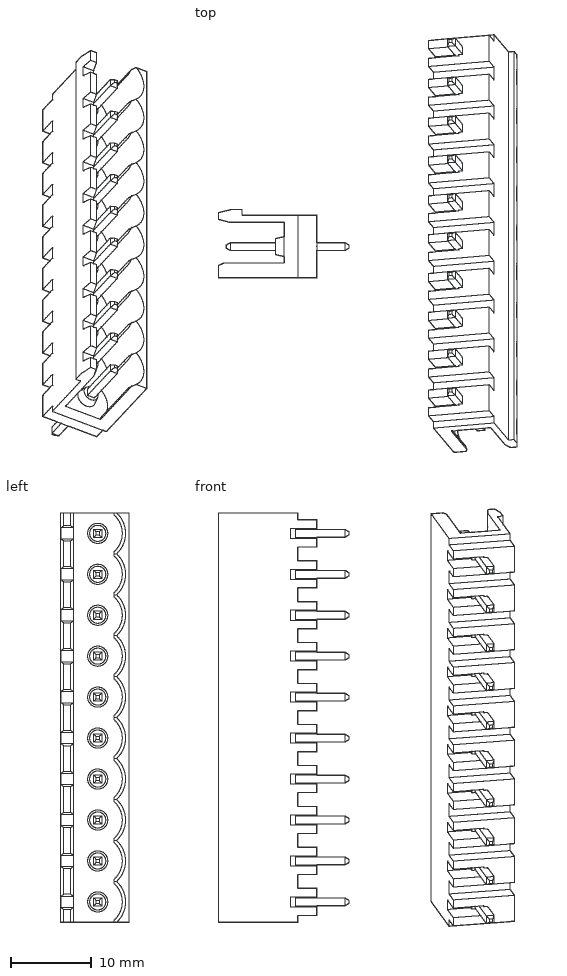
import cadquery as cq

pin_count = 10
pitch = 5.08
length = pin_count * pitch
pin_heights = [(i - (pin_count - 1) / 2) * pitch for i in range(pin_count)]

housing_depth = 9.85
housing_width = 7.8
channel_floor_x = 8.15
plain_wall_y = 1.85
latch_wall_y = 6.9
lead_in_length = 1.3
lead_in_drop = 0.35

scallop_radius = 3.05
scallop_mouth_radius = 3.45

overall_width = 8.5
hook_length = 2.95
hook_slope_length = 1.6
hook_slope_rise = 0.4
notch_depth = 1.3
notch_floor_width = 1.4
notch_mouth_width = 1.9

tooth_end_x = 12.2
tooth_height = 3.4
slot_start_x = 8.95
slot_deep_start_x = 9.55
slot_height = 1.25
slot_shallow_depth = 3.0

pin_y = 3.88
pin_side = 1.0
pin_tip_side = 0.4
pin_front_x = 0.95
pin_rear_x = 16.2
pin_front_taper = 0.55
pin_rear_taper = 0.5
collar_start_x = 7.05
collar_front_radius = 1.0
collar_base_radius = 1.25


def box(x_range, y_range, z_range):
    """Box between the given limits along X, Y and Z."""
    size = [high - low for low, high in (x_range, y_range, z_range)]
    corner = (x_range[0], y_range[0], z_range[0])
    return cq.Workplane("XY").box(*size, centered=False).translate(corner)


def centred_span(centre, size):
    return (centre - size / 2, centre + size / 2)


def plane_across_x(x, z):
    """Plane facing +X, centred on the pin axis at height z."""
    return cq.Workplane("YZ", origin=(x, pin_y, z))


def make_housing():
    """Constant cross-section of the channel and its latch hook."""
    return (
        cq.Workplane("XY", origin=(0, 0, -length / 2))
        .moveTo(0, 0)
        .lineTo(housing_depth, 0)
        .lineTo(housing_depth, housing_width)
        .lineTo(hook_length, housing_width)
        .lineTo(hook_length, overall_width)
        .lineTo(hook_slope_length, overall_width)
        .lineTo(0, overall_width - hook_slope_rise)
        .lineTo(0, latch_wall_y + lead_in_drop)
        .lineTo(lead_in_length, latch_wall_y)
        .lineTo(channel_floor_x, latch_wall_y)
        .lineTo(channel_floor_x, plain_wall_y)
        .lineTo(0, plain_wall_y)
        .close()
        .extrude(length)
    )


def make_scallop(z):
    """Round recess about the pin axis, widened by a cone at the mouth."""
    bore = plane_across_x(0, z).circle(scallop_radius).extrude(channel_floor_x)
    mouth = (
        plane_across_x(0, z)
        .circle(scallop_mouth_radius)
        .workplane(offset=lead_in_length)
        .circle(scallop_radius)
        .loft()
    )
    wall_side = box((0, channel_floor_x), (0, pin_y), centred_span(z, pitch))
    return bore.union(mouth).intersect(wall_side)


def make_notch(z):
    """Tapered gap between two neighbouring latch hooks."""
    return (
        cq.Workplane("XZ", origin=(0, overall_width, z))
        .moveTo(0, -notch_mouth_width / 2)
        .lineTo(notch_depth, -notch_floor_width / 2)
        .lineTo(notch_depth, notch_floor_width / 2)
        .lineTo(0, notch_mouth_width / 2)
        .close()
        .extrude(overall_width - pin_y)
    )


def make_tooth(z):
    return box((housing_depth, tooth_end_x), (0, housing_width), centred_span(z, tooth_height))


def make_slot(z):
    """Slot in the -Y face that steps down to the pin axis toward the rear."""
    z_range = centred_span(z, slot_height)
    shallow = box((slot_start_x, tooth_end_x), (0, slot_shallow_depth), z_range)
    deep = box((slot_deep_start_x, tooth_end_x), (0, pin_y), z_range)
    return shallow.union(deep)


def make_taper(tip_x, taper, z):
    """Tapered pin end that widens from tip_x by the signed length taper along X."""
    return (
        plane_across_x(tip_x, z)
        .rect(pin_tip_side, pin_tip_side)
        .workplane(offset=taper)
        .rect(pin_side, pin_side)
        .loft()
    )


def make_pin(z):
    shank_start = pin_front_x + pin_front_taper
    shank_end = pin_rear_x - pin_rear_taper
    shank = plane_across_x(shank_start, z).rect(pin_side, pin_side).extrude(shank_end - shank_start)
    front_end = make_taper(pin_front_x, pin_front_taper, z)
    rear_end = make_taper(pin_rear_x, -pin_rear_taper, z)
    collar = (
        plane_across_x(collar_start_x, z)
        .circle(collar_front_radius)
        .workplane(offset=channel_floor_x - collar_start_x)
        .circle(collar_base_radius)
        .loft()
    )
    return shank.union(front_end).union(rear_end).union(collar)


result = make_housing()
for pin_z in pin_heights:
    result = result.cut(make_scallop(pin_z))
    result = result.cut(make_notch(pin_z))
    result = result.union(make_tooth(pin_z))
    result = result.cut(make_slot(pin_z))
    result = result.union(make_pin(pin_z))